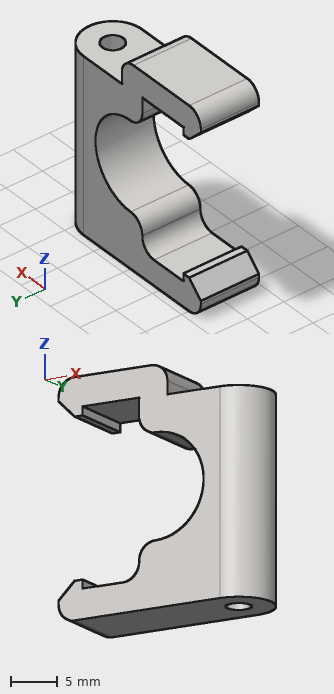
import cadquery as cq

height = 27.0
length = 24.0
thickness = 8.0
mid_height = height / 2

post_radius = thickness / 2
post_top = 23.5
hole_diameter = 2.8
post_axis_x = length - post_radius

corner_radius = 2.0
arm_thickness = 3.4
upper_arm_length = 13.5
throat_x = 10.0

hook_reach = 3.0
hook_flat = 1.0
hook_depth = 1.0
nose_height = 2.45

seat_radius = 6.0
seat_x = throat_x + corner_radius

upper_arm_underside = height - arm_thickness
hook_tip = arm_thickness + hook_depth
hook_flat_x = hook_reach - hook_flat
seat_bottom = mid_height - seat_radius
seat_top = mid_height + seat_radius
lower_lip_z = seat_bottom - corner_radius
upper_lip_z = seat_top + corner_radius
diagonal = 0.5 ** 0.5


def quarter_arc(sketch, center, start_side, end_side):
    """Draw a corner arc between two axis-aligned sides of its center."""
    cx, cz = center
    mid_x = cx + corner_radius * diagonal * (start_side[0] + end_side[0])
    mid_z = cz + corner_radius * diagonal * (start_side[1] + end_side[1])
    end = (cx + corner_radius * end_side[0], cz + corner_radius * end_side[1])
    return sketch.threePointArc((mid_x, mid_z), end)


LEFT, RIGHT, UP, DOWN = (-1, 0), (1, 0), (0, 1), (0, -1)


def clip_body():
    """Side profile of the clip, extruded symmetrically through its thickness."""
    outline = cq.Workplane("XZ").moveTo(corner_radius, 0).lineTo(length, 0)

    outline = outline.lineTo(length, post_top).lineTo(upper_arm_length, post_top)
    outline = outline.lineTo(upper_arm_length, height - corner_radius)
    shoulder_center = (upper_arm_length - corner_radius, height - corner_radius)
    outline = quarter_arc(outline, shoulder_center, RIGHT, UP)

    outline = outline.lineTo(corner_radius, height)
    outline = quarter_arc(outline, (corner_radius, height - corner_radius), UP, LEFT)
    outline = outline.lineTo(0, height - nose_height)
    outline = outline.lineTo(hook_flat_x, height - hook_tip).lineTo(hook_reach, height - hook_tip)
    outline = outline.lineTo(hook_reach, upper_arm_underside).lineTo(throat_x, upper_arm_underside)

    outline = outline.lineTo(throat_x, upper_lip_z)
    outline = quarter_arc(outline, (seat_x, upper_lip_z), LEFT, DOWN)
    outline = outline.threePointArc((seat_x + seat_radius, mid_height), (seat_x, seat_bottom))
    outline = quarter_arc(outline, (seat_x, lower_lip_z), UP, LEFT)

    fillet_center = (throat_x - corner_radius, arm_thickness + corner_radius)
    outline = outline.lineTo(throat_x, fillet_center[1])
    outline = quarter_arc(outline, fillet_center, RIGHT, DOWN)
    outline = outline.lineTo(hook_reach, arm_thickness).lineTo(hook_reach, hook_tip)
    outline = outline.lineTo(hook_flat_x, hook_tip).lineTo(0, nose_height)
    outline = outline.lineTo(0, corner_radius)
    outline = quarter_arc(outline, (corner_radius, corner_radius), LEFT, DOWN)
    return outline.close().extrude(post_radius, both=True)


def rounded_plan():
    """Plan shape of the clip: a bar ending in the full round of the post."""
    bar = cq.Workplane("XY").box(post_axis_x, thickness, height, centered=(False, True, False))
    post = cq.Workplane("XY").center(post_axis_x, 0).circle(post_radius).extrude(height)
    return bar.union(post)


def post_hole():
    return cq.Workplane("XY").center(post_axis_x, 0).circle(hole_diameter / 2).extrude(height)


result = clip_body().intersect(rounded_plan()).cut(post_hole())